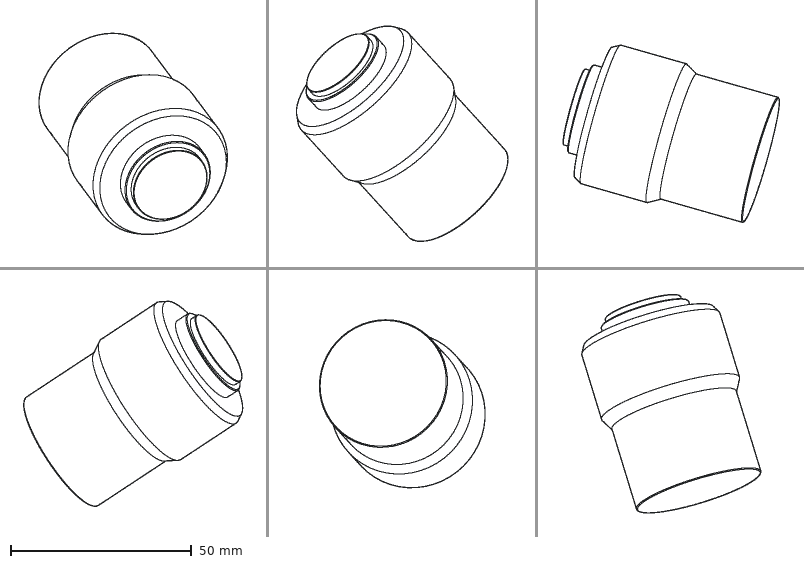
import cadquery as cq

total_length = 53.95
grip_radius = 18.0
body_diameter = 40.0
body_radius = body_diameter / 2
collar_radius = 12.7
tip_radius = 10.95

grip_length = 23.8
flare_length = 3.45
body_length = 19.0
body_bevel_length = 2.1
body_bevel_depth = 1.2
collar_length = 3.8
edge_chamfer = 0.25
tip_chamfer = 0.15

flare_end = grip_length + flare_length
bevel_start = flare_end + body_length
body_end = bevel_start + body_bevel_length
collar_end = body_end + collar_length

profile = [
    (0, 0),
    (0, grip_radius - edge_chamfer),
    (edge_chamfer, grip_radius),
    (grip_length, grip_radius),
    (flare_end, body_radius),
    (bevel_start, body_radius),
    (body_end, body_radius - body_bevel_depth),
    (body_end, collar_radius),
    (collar_end - edge_chamfer, collar_radius),
    (collar_end, collar_radius - edge_chamfer),
    (collar_end, tip_radius),
    (total_length - tip_chamfer, tip_radius),
    (total_length, tip_radius - tip_chamfer),
    (total_length, 0),
]

result = (
    cq.Workplane("XY")
    .polyline(profile)
    .close()
    .revolve(360, (0, 0, 0), (1, 0, 0))
    .translate((-total_length / 2, 0, 0))
)